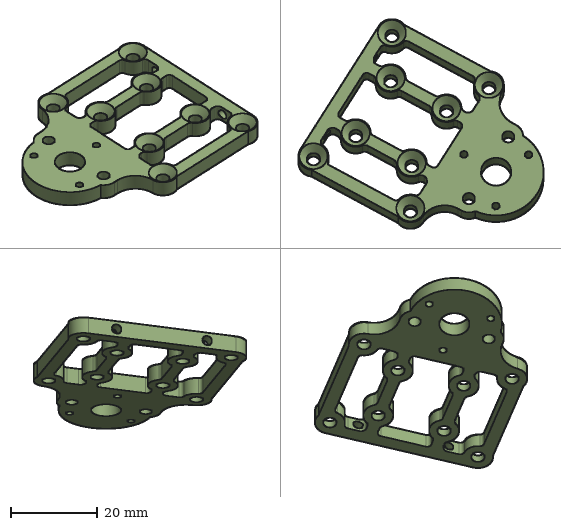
import cadquery as cq
import math

overall_width = 43.0
overall_length = 53.0
thickness = 4.0

boss_radius = 3.5
screw_hole_diameter = 3.1
countersink_diameter = 6.5
countersink_angle = 90

nose_radius = 11.0
shaft_hole_diameter = 7.0
pin_hole_diameter = 1.7
pin_circle_radius = 8.65
pin_count = 3
shoulder_x = 9.0
shoulder_y = 2.0
shoulder_hole_diameter = 2.8
shoulder_points = [(-shoulder_x, shoulder_y), (shoulder_x, shoulder_y)]

sweep_radius = 6.0

corner_x = overall_width / 2 - boss_radius
frame_top_y = overall_length - nose_radius
corner_top_y = frame_top_y - boss_radius
corner_spacing_y = 26.0
corner_bottom_y = corner_top_y - corner_spacing_y
frame_mid_y = (corner_top_y + corner_bottom_y) / 2
inner_x = 8.0
inner_spacing_y = 15.0
corner_points = [(sx * corner_x, y) for sx in (-1, 1) for y in (corner_bottom_y, corner_top_y)]
inner_points = [(sx * inner_x, frame_mid_y + sy * inner_spacing_y / 2) for sx in (-1, 1) for sy in (-1, 1)]
boss_points = corner_points + inner_points

frame_width = 42.4
bar_width = 3.0
window_top_y = frame_top_y - bar_width
window_bottom_y = corner_bottom_y
side_window_inner_x = 9.4
side_window_outer_x = 18.05
window_fillet = 1.0
side_window_rib_fillet = 1.4
center_window_width = 13.0

cross_hole_diameter = 2.3
cross_hole_x = 11.0


def cylinders(points, radius):
    return cq.Workplane("XY").pushPoints(points).circle(radius).extrude(thickness)


def block(left, right, bottom, top):
    return cq.Workplane("XY").rect(right - left, top - bottom).extrude(thickness).translate(
        ((left + right) / 2, (bottom + top) / 2, 0)
    )


def make_neck():
    """Neck whose sides sweep in from the corner bosses and end tangent to the shoulders."""
    shoulder_edge_x = shoulder_x + boss_radius
    sweep_x = shoulder_edge_x + sweep_radius
    center_distance = boss_radius + sweep_radius
    sweep_y = corner_bottom_y - math.sqrt(center_distance**2 - (sweep_x - corner_x) ** 2)
    tangent_x = corner_x + (sweep_x - corner_x) * boss_radius / center_distance
    upper_neck = block(-tangent_x, tangent_x, sweep_y, corner_bottom_y)
    upper_neck = upper_neck.cut(cylinders([(-sweep_x, sweep_y), (sweep_x, sweep_y)], sweep_radius))
    lower_neck = block(-shoulder_edge_x, shoulder_edge_x, shoulder_y, sweep_y)
    return upper_neck.union(lower_neck)


def make_body():
    """Solid outline: frame with corner bosses, swept neck, shoulders and round nose."""
    frame = block(-frame_width / 2, frame_width / 2, corner_bottom_y, corner_top_y)
    rear_bar = block(-corner_x, corner_x, corner_top_y, frame_top_y)
    corner_bosses = cylinders(corner_points, boss_radius)
    shoulders = cylinders(shoulder_points, boss_radius)
    nose = cylinders([(0, 0)], nose_radius)
    body = frame
    for piece in (rear_bar, corner_bosses, make_neck(), shoulders, nose):
        body = body.union(piece)
    return body


def make_window(left, right):
    """Sharp-cornered opening between two bars, wrapped around the bosses."""
    window = block(left, right, window_bottom_y, window_top_y)
    return window.cut(cylinders(boss_points, boss_radius))


def make_side_window():
    """Right-hand window, with larger fillets beside the rib than beside the outer bar."""
    middle_x = (side_window_inner_x + side_window_outer_x) / 2
    window = make_window(side_window_inner_x, side_window_outer_x)
    window = window.edges("|Z").filter(lambda edge: edge.Center().x > middle_x).fillet(window_fillet)
    rib_corners = window.faces("<X").edges("|Z")
    return rib_corners.fillet(side_window_rib_fillet)


def cut_windows(body):
    center_window = make_window(-center_window_width / 2, center_window_width / 2)
    center_window = center_window.edges("|Z").fillet(window_fillet)
    right_window = make_side_window()
    left_window = right_window.mirror("YZ")
    return body.cut(center_window).cut(right_window).cut(left_window)


def cut_screw_holes(body):
    return (
        body.faces(">Z").workplane(origin=(0, 0, thickness))
        .pushPoints(boss_points)
        .cskHole(screw_hole_diameter, countersink_diameter, countersink_angle)
    )


def cut_nose_holes(body):
    body = body.cut(cylinders([(0, 0)], shaft_hole_diameter / 2))
    body = body.cut(cylinders(shoulder_points, shoulder_hole_diameter / 2))
    pin_angles = [math.radians(90 + i * 360 / pin_count) for i in range(pin_count)]
    pin_points = [(pin_circle_radius * math.cos(a), pin_circle_radius * math.sin(a)) for a in pin_angles]
    return body.cut(cylinders(pin_points, pin_hole_diameter / 2))


def cut_cross_holes(body):
    """Holes along Y at mid thickness, from each side window out through the rear bar."""
    drills = (
        cq.Workplane("XZ", origin=(0, frame_top_y, thickness / 2))
        .pushPoints([(-cross_hole_x, 0), (cross_hole_x, 0)])
        .circle(cross_hole_diameter / 2)
        .extrude(bar_width + side_window_rib_fillet)
    )
    return body.cut(drills)


result = cut_cross_holes(cut_nose_holes(cut_screw_holes(cut_windows(make_body()))))